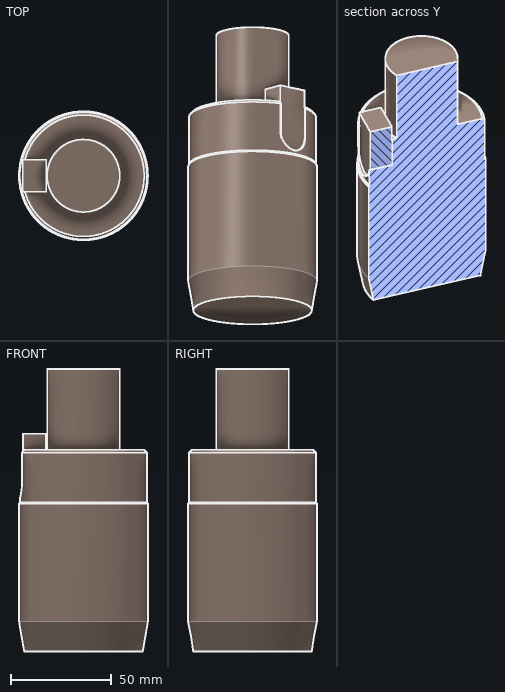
import cadquery as cq

total_height = 140
body_diameter = 64.0
collar_diameter = 63
shank_diameter = 36.0
nose_diameter = 58.8
nose_height = 15.0
shoulder_height = 74.0
shoulder_drop = 0.8
collar_top = 100.0
collar_chamfer = 1.4

key_width = 16.0
key_length = 32.0
key_thickness = 11.5
key_top = 108.0
key_outer_x = -30.0
key_bottom = key_top - key_length
key_radius = key_width / 2
key_arc_center_z = key_bottom + key_radius


def make_round_end_block(thickness, outer_x):
    """Block with a half-round lower end, reaching from outer_x towards +X."""
    return (
        cq.Workplane("YZ", origin=(outer_x, 0, 0))
        .moveTo(-key_radius, key_top)
        .lineTo(-key_radius, key_arc_center_z)
        .threePointArc((0, key_bottom), (key_radius, key_arc_center_z))
        .lineTo(key_radius, key_top)
        .close()
        .extrude(thickness)
    )


def make_key():
    return make_round_end_block(key_thickness, key_outer_x)


def make_key_slot():
    """Seat of the key, open through the outer wall of the collar."""
    key_inner_x = key_outer_x + key_thickness
    wall_x = -body_diameter / 2
    return make_round_end_block(key_inner_x - wall_x, wall_x)


def make_holder():
    body_radius = body_diameter / 2
    collar_radius = collar_diameter / 2
    shank_radius = shank_diameter / 2
    profile = [
        (0, 0),
        (nose_diameter / 2, 0),
        (body_radius, nose_height),
        (body_radius, shoulder_height - shoulder_drop),
        (collar_radius, shoulder_height),
        (collar_radius, collar_top - collar_chamfer),
        (collar_radius - collar_chamfer, collar_top),
        (shank_radius, collar_top),
        (shank_radius, total_height),
        (0, total_height),
    ]
    blank = cq.Workplane("XZ").polyline(profile).close().revolve(360, (0, 0), (0, 1))
    return blank.cut(make_key_slot()).solids()


holder = make_holder()
key = make_key()
result = cq.Compound.makeCompound([holder.val(), key.val()])